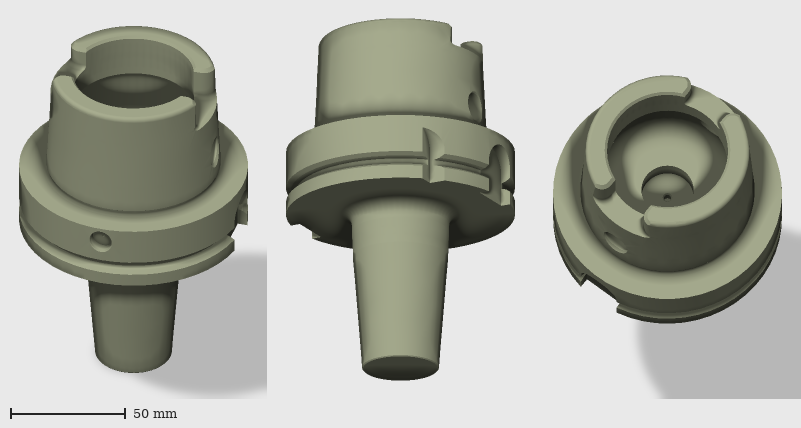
import cadquery as cq
import math


overall_length = 149.9
flange_diameter = 100.0
flange_radius = flange_diameter / 2
flange_height = 29.0
shank_height = 50.0
nose_tip_z = shank_height - overall_length

shank_base_radius = 38.0
shank_base_z = 2.5
shank_taper = 0.05
shank_rim_fillet = 2.0
relief_radius = 37.5
relief_top_z = 2.1
relief_fillet = 0.9
seat_inner_radius = 39.4
seat_bevel_height = 0.1

groove_radius = 45.9
groove_top_z = -16.6
groove_bottom_z = -23.1
groove_side_height = 2.0
groove_lip_radius = 48.0
groove_lip_height = 1.3

nose_root_fillet = 4.6
nose_root_radius = 21.3
nose_collar_bottom_z = -37.0
nose_break_radius = 20.8
nose_break_z = -48.4
nose_tip_radius = 16.8
nose_tip_chamfer = 0.5

mouth_radius = 26.4
mouth_chamfer = 1.0
mouth_bottom_z = 30.5
cavity_radius = 31.5
clamp_angle = math.radians(60)
cavity_floor_z = 3.3
cavity_floor_fillet = 6.6
tube_bore_radius = 11.4
tube_bore_depth = 9.0
coolant_hole_radius = 1.5
coolant_hole_chamfer = 0.6
coolant_hole_depth = 4.5

notch_half_width = 9.7
notch_corner_radius = 5.0
notch_flat_end_x = 27.7
notch_floor_fillet = 1.8
notch_rim_chamfer = 1.5
left_notch_depth = 10.0
right_notch_depth = 15.0

cross_hole_z = 15.1
cross_hole_radius = 6.1
cross_hole_chamfer = 0.9

slot_half_width = 9.9
slot_top_z = -5.0
key_slot_floor_x = 44.5
index_slot_floor_x = 31.5
index_slot_y = 41.5

chip_z = -6.9
chip_radius = 5.0
chip_chamfer = 0.5
chip_depth = 4.6
chip_pin_radius = 0.6
chip_pin_depth = 3.0

clearance = 7.5


def shank_radius(z):
    """Outer radius of the tapered shank at height z."""
    return shank_base_radius - shank_taper * (z - shank_base_z)


def make_body():
    """Solid of revolution: nose, flange and shank without the cavity."""
    nose_fillet_end = nose_root_radius + nose_root_fillet
    fillet_offset = nose_root_fillet * (1 - math.sqrt(0.5))
    relief_offset = relief_fillet * (1 - math.sqrt(0.5))
    rim_offset = shank_rim_fillet * (1 - math.sqrt(0.5))
    rim_start_z = shank_height - shank_rim_fillet
    rim_radius = shank_radius(rim_start_z)
    profile = (
        cq.Workplane("YZ")
        .moveTo(0, nose_tip_z)
        .lineTo(nose_tip_radius - nose_tip_chamfer, nose_tip_z)
        .lineTo(nose_tip_radius, nose_tip_z + nose_tip_chamfer)
        .lineTo(nose_break_radius, nose_break_z)
        .lineTo(nose_root_radius, nose_collar_bottom_z)
        .lineTo(nose_root_radius, -flange_height - nose_root_fillet)
        .threePointArc(
            (nose_root_radius + fillet_offset, -flange_height - fillet_offset),
            (nose_fillet_end, -flange_height),
        )
        .lineTo(flange_radius, -flange_height)
        .lineTo(flange_radius, groove_bottom_z)
        .lineTo(groove_lip_radius, groove_bottom_z + groove_lip_height)
        .lineTo(groove_radius, groove_bottom_z + groove_side_height)
        .lineTo(groove_radius, groove_top_z - groove_side_height)
        .lineTo(groove_lip_radius, groove_top_z - groove_lip_height)
        .lineTo(flange_radius, groove_top_z)
        .lineTo(flange_radius, 0)
        .lineTo(seat_inner_radius, 0)
        .lineTo(relief_radius + relief_fillet, seat_bevel_height)
        .threePointArc(
            (relief_radius + relief_offset, seat_bevel_height + relief_offset),
            (relief_radius, seat_bevel_height + relief_fillet),
        )
        .lineTo(relief_radius, relief_top_z)
        .lineTo(shank_base_radius, shank_base_z)
        .lineTo(rim_radius, rim_start_z)
        .threePointArc(
            (rim_radius - rim_offset, shank_height - rim_offset),
            (rim_radius - shank_rim_fillet, shank_height),
        )
        .lineTo(0, shank_height)
        .close()
    )
    return profile.revolve(360, (0, 0, 0), (0, 1, 0))


def make_cavity():
    """Clamping cavity with its undercut, the coolant-tube bore and the coolant hole."""
    cavity_wall_top_z = mouth_bottom_z - (cavity_radius - mouth_radius) / math.tan(clamp_angle)
    tube_floor_z = cavity_floor_z - tube_bore_depth
    coolant_floor_z = tube_floor_z - coolant_hole_depth
    fillet_offset = cavity_floor_fillet * (1 - math.sqrt(0.5))
    profile = (
        cq.Workplane("YZ")
        .moveTo(0, coolant_floor_z)
        .lineTo(coolant_hole_radius, coolant_floor_z)
        .lineTo(coolant_hole_radius, tube_floor_z - coolant_hole_chamfer)
        .lineTo(coolant_hole_radius + coolant_hole_chamfer, tube_floor_z)
        .lineTo(tube_bore_radius, tube_floor_z)
        .lineTo(tube_bore_radius, cavity_floor_z)
        .lineTo(cavity_radius - cavity_floor_fillet, cavity_floor_z)
        .threePointArc(
            (cavity_radius - fillet_offset, cavity_floor_z + fillet_offset),
            (cavity_radius, cavity_floor_z + cavity_floor_fillet),
        )
        .lineTo(cavity_radius, cavity_wall_top_z)
        .lineTo(mouth_radius, mouth_bottom_z)
        .lineTo(mouth_radius, shank_height - mouth_chamfer)
        .lineTo(mouth_radius + mouth_chamfer, shank_height)
        .lineTo(0, shank_height)
        .close()
    )
    return profile.revolve(360, (0, 0, 0), (0, 1, 0))


def make_notch(side, depth):
    """Cutter for one drive notch; side is -1 for -X and +1 for +X."""
    inner_x = side * mouth_radius / 2
    outer_x = side * (flange_radius + clearance)
    flat_end_x = side * notch_flat_end_x
    corner_x = side * (notch_flat_end_x + notch_corner_radius)
    arc_x = side * (notch_flat_end_x + notch_corner_radius * math.sqrt(0.5))
    arc_y = notch_half_width + notch_corner_radius * (1 - math.sqrt(0.5))
    corner_y = notch_half_width + notch_corner_radius
    flare_y = corner_y + clearance

    def plan(z):
        return (
            cq.Workplane("XY", origin=(0, 0, z))
            .moveTo(inner_x, -notch_half_width)
            .lineTo(flat_end_x, -notch_half_width)
            .threePointArc((arc_x, -arc_y), (corner_x, -corner_y))
            .lineTo(corner_x, -flare_y)
            .lineTo(outer_x, -flare_y)
            .lineTo(outer_x, flare_y)
            .lineTo(corner_x, flare_y)
            .lineTo(corner_x, corner_y)
            .threePointArc((arc_x, arc_y), (flat_end_x, notch_half_width))
            .lineTo(inner_x, notch_half_width)
            .close()
        )

    shaft = plan(shank_height - depth).extrude(depth).faces("<Z").edges().fillet(notch_floor_fillet)
    rim_bevel = plan(shank_height - notch_rim_chamfer).extrude(notch_rim_chamfer, taper=-45)
    return shaft.union(rim_bevel)


def make_cross_hole():
    """Cutter along X for the through hole, flaring at 45 degrees where it leaves the shank."""
    flare_start_x = shank_radius(cross_hole_z) - cross_hole_chamfer
    flare_end_radius = cross_hole_radius + clearance
    flare_end_x = flare_start_x + clearance
    profile = [
        (-flare_end_x, 0),
        (-flare_end_x, flare_end_radius),
        (-flare_start_x, cross_hole_radius),
        (flare_start_x, cross_hole_radius),
        (flare_end_x, flare_end_radius),
        (flare_end_x, 0),
    ]
    hole = cq.Workplane("XZ").polyline(profile).close().revolve(360, (0, 0, 0), (1, 0, 0))
    return hole.translate((0, 0, cross_hole_z))


def make_rim_slot(side, floor_x, center_y):
    """Round-topped flange slot, open at the bottom and outward along X."""
    spring_z = slot_top_z - slot_half_width
    bottom_z = -flange_height
    return (
        cq.Workplane("YZ", origin=(side * floor_x, 0, 0))
        .moveTo(center_y - slot_half_width, bottom_z)
        .lineTo(center_y - slot_half_width, spring_z)
        .threePointArc((center_y, slot_top_z), (center_y + slot_half_width, spring_z))
        .lineTo(center_y + slot_half_width, bottom_z)
        .close()
        .extrude(side * (flange_radius - floor_x + clearance))
    )


def make_chip_pocket():
    """Blind pocket on the -Y rim with a chamfered mouth and a pin hole in its floor."""
    profile = [
        (0, -chip_depth - chip_pin_depth),
        (chip_pin_radius, -chip_depth - chip_pin_depth),
        (chip_pin_radius, -chip_depth),
        (chip_radius, -chip_depth),
        (chip_radius, -chip_chamfer),
        (chip_radius + chip_chamfer, 0),
        (0, 0),
    ]
    pocket = cq.Workplane("XZ").polyline(profile).close().revolve(360, (0, 0, 0), (0, 1, 0))
    return pocket.rotate((0, 0, 0), (1, 0, 0), 90).translate((0, -flange_radius, chip_z))


result = make_body().cut(make_cavity())
result = result.cut(make_notch(-1, left_notch_depth))
result = result.cut(make_notch(1, right_notch_depth))
result = result.cut(make_cross_hole())
for slot_side in (-1, 1):
    result = result.cut(make_rim_slot(slot_side, key_slot_floor_x, 0))
result = result.cut(make_rim_slot(-1, index_slot_floor_x, index_slot_y))
result = result.cut(make_chip_pocket())